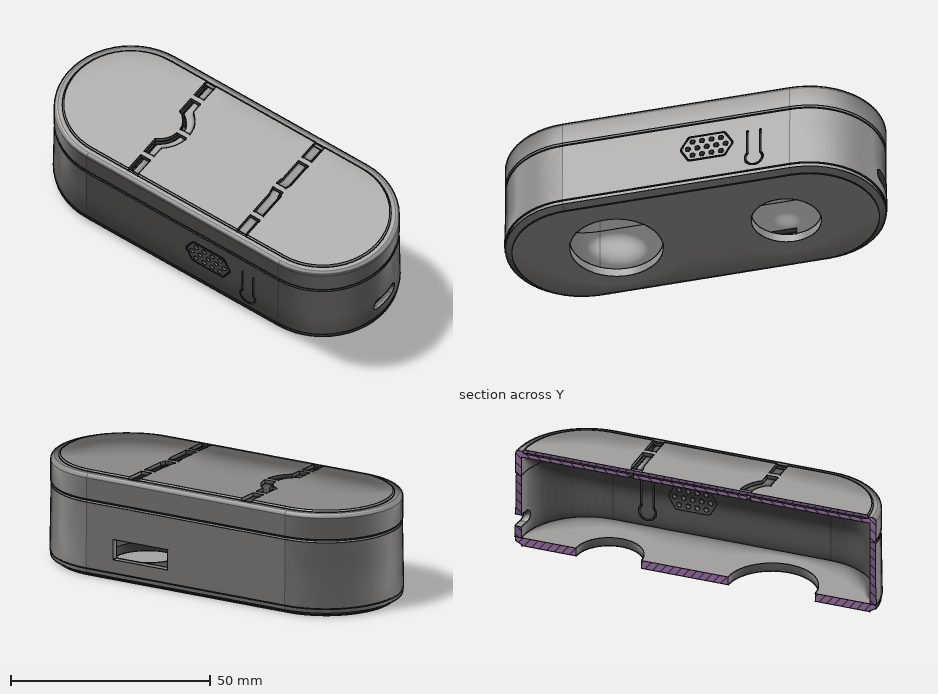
import cadquery as cq
import math

length = 98.0
width = 39.0

base_top = 2.4
housing_top = 20.1
rim_top = 27.0
cover_top = 27.5
seat_top = 26.6
deck_top = 26.4

base_inset = 0.2
housing_top_inset = 0.3
lid_inset = 0.2
wall = 1.6
inner_inset = housing_top_inset + wall

foot_inset = 1.9
foot_height = 0.3
base_side_bottom = 1.2
base_chamfer = 0.2

seam_chamfer_height = 0.44
seam_chamfer_width = 0.3
lid_fillet = 1.0
deck_thickness = 1.2
deck_inset = 3.1
cover_inset = 2.3
cover_chamfer = 0.4

slot_line = 18.2
slot_width = 3.0
deck_slot_width = 0.9
bulge_radius = 5.8
left_bulge_x = -20.6
right_bulge_x = 23.5
bar_width = 1.5
left_bar_y = 10.9
right_bar_y = 10.5

left_opening_radius = 11.8
right_opening_radius = bulge_radius + slot_width

grille_x = 7.9
grille_z = 12.2
grille_half_width = 6.7
grille_half_flat = 4.6
grille_half_height = 3.5
grille_corner_radius = 0.9
groove_width = 0.3
groove_depth = 0.6
grille_hole_diameter = 1.3
grille_pitch = 2.45
grille_row_counts = (4, 5, 4)
grille_row_angle = 60

slit_x = 20.2
slit_width = 0.4
stem_half_width = 1.9
stem_top = 15.0
bulb_z = 6.3
bulb_radius = 2.45

window_left = 5.4
window_right = 21.6
window_bottom = 5.9
window_top = 11.2
port_width = 9.0
port_height = 3.2
port_z = 7.1


def stadium(inset, bottom, top, taper=0.0):
    """Upright stadium-shaped block, set in from the case outline."""
    outline = cq.Workplane("XY").workplane(offset=bottom).slot2D(length - 2 * inset, width - 2 * inset)
    return outline.extrude(top - bottom, taper=taper)


def box(x_min, x_max, y_min, y_max, z_min, z_max):
    block = cq.Workplane("XY").box(x_max - x_min, y_max - y_min, z_max - z_min, centered=False)
    return block.translate((x_min, y_min, z_min))


def cylinder(x, radius, bottom, top):
    return cq.Workplane("XY", origin=(x, 0, bottom)).circle(radius).extrude(top - bottom)


def end_zone(bulge_x, grow, bottom, top):
    """Region beyond one slot line, bulge included, enlarged by `grow`."""
    edge = math.copysign(slot_line - grow, bulge_x)
    outer = math.copysign(length / 2, bulge_x)
    beyond = box(min(edge, outer), max(edge, outer), -width / 2, width / 2, bottom, top)
    return beyond.union(cylinder(bulge_x, bulge_radius + grow, bottom, top))


def bulged_slot(bulge_x, slot, bottom, top):
    return end_zone(bulge_x, slot, bottom, top).cut(end_zone(bulge_x, 0, bottom, top))


def chamfer_seam(body, face):
    """Bevel the outer edge at the joint between housing and lid."""
    return body.faces(face).chamfer(seam_chamfer_height, seam_chamfer_width)


def front_prism(outline, depth):
    """Extrude an XZ outline from the front of the case towards the back."""
    return outline.extrude(-depth).translate((0, -width / 2, 0))


def make_base():
    plate = stadium(base_inset, base_side_bottom, base_top).faces(">Z").chamfer(base_chamfer)
    slope_height = base_side_bottom - foot_height
    slope_angle = math.degrees(math.atan2(foot_inset - base_inset, slope_height))
    slope = (
        cq.Workplane("XY")
        .workplane(offset=base_side_bottom)
        .slot2D(length - 2 * base_inset, width - 2 * base_inset)
        .extrude(-slope_height, taper=slope_angle)
    )
    foot = stadium(foot_inset, 0, foot_height)
    base = plate.union(slope).union(foot)
    base = base.cut(cylinder(left_bulge_x, left_opening_radius, 0, base_top))
    return base.cut(cylinder(right_bulge_x, right_opening_radius, 0, base_top))


def make_housing_wall():
    draft = math.degrees(math.atan2(housing_top_inset, housing_top - base_top))
    outer = stadium(0, base_top, housing_top, taper=draft)
    outer = chamfer_seam(outer, ">Z")
    return outer.cut(stadium(inner_inset, base_top, housing_top))


def hexagon(grow, depth):
    """Six-sided prism with rounded corners for the grille, enlarged by `grow`."""
    half_width = grille_half_width + grow
    half_flat = grille_half_flat + grow / 2
    half_height = grille_half_height + grow
    outline = cq.Workplane("XZ", origin=(grille_x, 0, grille_z)).polyline([
        (-half_width, 0),
        (-half_flat, half_height),
        (half_flat, half_height),
        (half_width, 0),
        (half_flat, -half_height),
        (-half_flat, -half_height),
    ]).close()
    return front_prism(outline, depth).edges("|Y").fillet(grille_corner_radius)


def grille_hole_points():
    """Rows of holes, each shifted by half a pitch from the next."""
    row_pitch = grille_pitch * math.sin(math.radians(grille_row_angle))
    middle_row = (len(grille_row_counts) - 1) / 2
    points = []
    for row, count in enumerate(grille_row_counts):
        for column in range(count):
            x = (column - (count - 1) / 2) * grille_pitch
            points.append((x, (row - middle_row) * row_pitch))
    return points


def make_grille(housing_wall):
    grille = housing_wall.intersect(hexagon(0, width / 2))
    holes = (
        cq.Workplane("XZ", origin=(grille_x, 0, grille_z))
        .pushPoints(grille_hole_points())
        .circle(grille_hole_diameter / 2)
    )
    return grille.cut(front_prism(holes, width / 2))


def thermometer(inset, stem_end):
    """Stem with a round bulb, set in by `inset`."""
    half_stem = stem_half_width - inset
    bulb = cq.Workplane("XZ", origin=(slit_x, 0, bulb_z)).circle(bulb_radius - inset)
    stem_height = stem_end - bulb_z
    stem = cq.Workplane("XZ", origin=(slit_x, 0, bulb_z + stem_height / 2)).rect(2 * half_stem, stem_height)
    return front_prism(bulb, width / 2).union(front_prism(stem, width / 2))


def thermometer_slit():
    """Slit around a tongue that stays attached at its top end."""
    return thermometer(0, stem_top).cut(thermometer(slit_width, housing_top))


def connector_port():
    outline = cq.Workplane("YZ", origin=(0, 0, port_z)).slot2D(port_width, port_height)
    return outline.extrude(length / 2)


def make_housing(housing_wall):
    housing = housing_wall.cut(hexagon(0, width / 2))
    housing = housing.cut(hexagon(groove_width, groove_depth))
    housing = housing.cut(thermometer_slit())
    rear_window = box(window_left, window_right, 0, width / 2, window_bottom, window_top)
    return housing.cut(rear_window).cut(connector_port())


def make_lid():
    lid = stadium(lid_inset, housing_top, rim_top)
    lid = lid.faces(">Z").fillet(lid_fillet)
    lid = chamfer_seam(lid, "<Z")
    deck_bottom = deck_top - deck_thickness
    lid = lid.cut(stadium(inner_inset, housing_top, deck_bottom))
    lid = lid.cut(stadium(cover_inset, seat_top, rim_top))
    lid = lid.cut(stadium(deck_inset, deck_top, seat_top))
    for bulge_x in (left_bulge_x, right_bulge_x):
        slot = bulged_slot(bulge_x, deck_slot_width, deck_bottom, deck_top)
        lid = lid.cut(slot.intersect(stadium(deck_inset, deck_bottom, deck_top)))
    return lid


def make_cover():
    cover = stadium(cover_inset, seat_top, cover_top).faces(">Z").chamfer(cover_chamfer)
    for bulge_x, bar_y in ((left_bulge_x, left_bar_y), (right_bulge_x, right_bar_y)):
        slot = bulged_slot(bulge_x, slot_width, seat_top, cover_top)
        for y in (-bar_y, 0, bar_y):
            bar = box(-length / 2, length / 2, y - bar_width / 2, y + bar_width / 2, seat_top, cover_top)
            slot = slot.cut(bar)
        cover = cover.cut(slot)
    return cover


housing_wall = make_housing_wall()
base = make_base()
grille = make_grille(housing_wall)
housing = make_housing(housing_wall)
lid = make_lid()
cover = make_cover()

bodies = (base, housing, grille, lid, cover)
result = cq.Compound.makeCompound([solid for body in bodies for solid in body.solids().vals()])